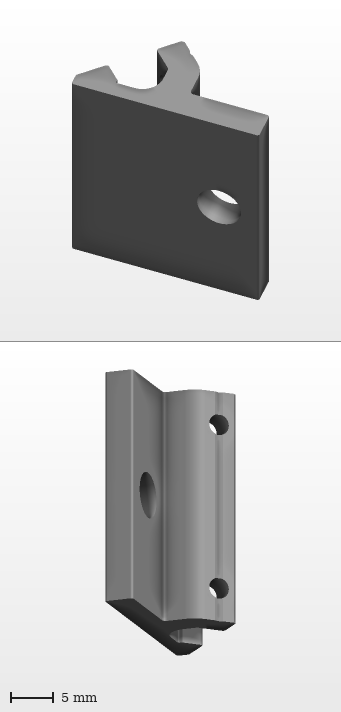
import cadquery as cq
import math

length = 28.0
width = 23.5
overall_depth = 11.0
flange_thickness = 3.5
channel_floor = 2.0

edge_radius = 0.3
ridge_tip_radius = 0.35
lip_chamfer = 0.3
arm_root_radius = 0.45
channel_radius = 2.6
floor_corner_radius = 0.2
outer_bend_radius = 3.0

ridge_base = 1.5
ridge_tip_x = 2.9
ridge_tip_y = ridge_base + ridge_tip_x
ridge_inner_x = 4.8
ridge_inner_y = ridge_tip_y - (ridge_inner_x - ridge_tip_x)

arm_inner_x = 9.75
arm_outer_x = 13.5
lip_thickness = 3.5
lip_x = 7.3
lip_offset = lip_thickness / math.sqrt(2)
lip_end_x = lip_x + lip_offset
lip_end_y = overall_depth + lip_chamfer / math.sqrt(2)
lip_y = lip_end_y - lip_offset
arm_bend_y = lip_y - (arm_inner_x - lip_x)
outer_bend_y = lip_end_y - (arm_outer_x - lip_end_x)

mount_hole_diameter = 5.5
mount_hole_x = 18.5
screw_hole_diameter = 2.5
drill_overrun = 1.0
screw_end_distance = 4.0
screw_hole_y = 7.16
screw_hole_x = arm_inner_x - (screw_hole_y - arm_bend_y)

groove_width = 1.0
groove_depth = 0.18
groove_x = screw_hole_x + lip_offset
groove_y = screw_hole_y + lip_offset
groove_half_step = groove_width / 2 / math.sqrt(2)
groove_depth_step = groove_depth / math.sqrt(2)


def long_edge(body, x, y):
    """Select the edge along Z nearest to the profile point (x, y)."""
    nearest = cq.selectors.NearestToPointSelector((x, y, length / 2))
    return body.edges("|Z").edges(nearest)


def make_profile_body():
    """Extrude the clip profile, groove included, and finish its long edges."""
    corners = [
        (0, 0, edge_radius),
        (width, 0, edge_radius),
        (width, flange_thickness, edge_radius),
        (arm_outer_x, flange_thickness, arm_root_radius),
        (arm_outer_x, outer_bend_y, outer_bend_radius),
        (groove_x + groove_half_step, groove_y - groove_half_step, 0),
        (groove_x - groove_depth_step, groove_y - groove_depth_step, 0),
        (groove_x - groove_half_step, groove_y + groove_half_step, 0),
        (lip_end_x, lip_end_y, 0),
        (lip_x, lip_y, edge_radius),
        (arm_inner_x, arm_bend_y, edge_radius),
        (arm_inner_x, channel_floor, channel_radius),
        (ridge_inner_x, channel_floor, floor_corner_radius),
        (ridge_inner_x, ridge_inner_y, 0),
        (ridge_tip_x, ridge_tip_y, ridge_tip_radius),
        (0, ridge_base, 0),
    ]
    outline = [(x, y) for x, y, _ in corners]
    body = cq.Workplane("XY").polyline(outline).close().extrude(length)
    for x, y, radius in corners:
        if radius > 0:
            body = long_edge(body, x, y).fillet(radius)
    return long_edge(body, lip_end_x, lip_end_y).chamfer(lip_chamfer)


def cut_mount_hole(body):
    """Drill the clearance hole through the flange, along Y."""
    hole = (
        cq.Workplane("XZ", origin=(mount_hole_x, 0, length / 2))
        .circle(mount_hole_diameter / 2)
        .extrude(-overall_depth)
    )
    return body.cut(hole)


def cut_screw_holes(body):
    """Drill two holes square through the lip, one near each end."""
    for z in (screw_end_distance, length - screw_end_distance):
        plane = cq.Plane(origin=(screw_hole_x, screw_hole_y, z), xDir=(0, 0, 1), normal=(1, 1, 0))
        hole = cq.Workplane(plane).workplane(offset=-drill_overrun).circle(screw_hole_diameter / 2)
        body = body.cut(hole.extrude(lip_thickness + 2 * drill_overrun))
    return body


clip = make_profile_body()
clip = cut_mount_hole(clip)
result = cut_screw_holes(clip)